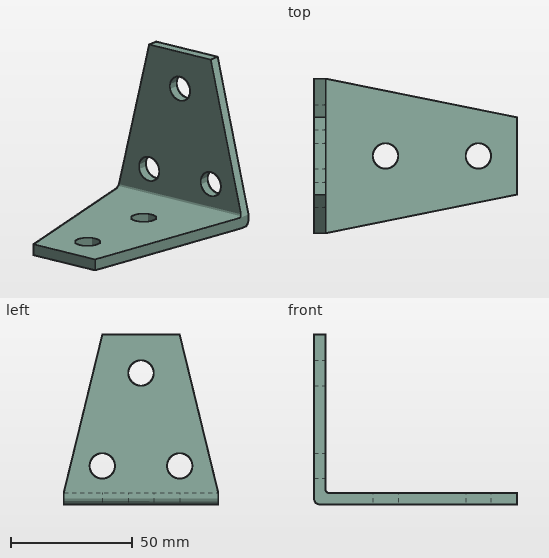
import cadquery as cq

base_length = 83.34
upright_height = 69.85
bend_width = 63.5
tip_width = bend_width / 2
thickness = 4.7625

outer_radius = 2.54
inner_radius = 1.5875

hole_diameter = 10.32
hole_edge_distance = 15.875
hole_pitch = 38.1
upright_pair_spacing = 31.75


def angle_profile():
    """L-shaped solid with its heel at the origin, centred on Y and bent along Y."""
    angle = (
        cq.Workplane("XZ")
        .moveTo(0, 0)
        .lineTo(base_length, 0)
        .lineTo(base_length, thickness)
        .lineTo(thickness, thickness)
        .lineTo(thickness, upright_height)
        .lineTo(0, upright_height)
        .close()
        .extrude(bend_width / 2, both=True)
    )
    heel = cq.selectors.NearestToPointSelector((0, 0, 0))
    inner_corner = cq.selectors.NearestToPointSelector((thickness, 0, thickness))
    angle = angle.edges("|Y").edges(inner_corner).fillet(inner_radius)
    return angle.edges("|Y").edges(heel).fillet(outer_radius)


def leg_outline(plane, leg_length):
    """Plan of one leg: full width across the bend, then tapering to the tip."""
    return (
        cq.Workplane(plane)
        .moveTo(0, -bend_width / 2)
        .lineTo(thickness, -bend_width / 2)
        .lineTo(leg_length, -tip_width / 2)
        .lineTo(leg_length, tip_width / 2)
        .lineTo(thickness, bend_width / 2)
        .lineTo(0, bend_width / 2)
        .close()
    )


base_plane = cq.Plane(origin=(0, 0, 0), xDir=(1, 0, 0), normal=(0, 0, 1))
upright_plane = cq.Plane(origin=(0, 0, 0), xDir=(0, 0, 1), normal=(-1, 0, 0))


def tapered_bracket():
    """Angle with both legs trimmed to a taper towards their tips."""
    base_trim = leg_outline(base_plane, base_length).extrude(upright_height)
    upright_trim = leg_outline(upright_plane, upright_height).extrude(-base_length)
    return angle_profile().intersect(base_trim).intersect(upright_trim)


def leg_holes(plane, positions, depth):
    """Cylinders through one leg at the given (along leg, along bend) positions."""
    return cq.Workplane(plane).pushPoints(positions).circle(hole_diameter / 2).extrude(depth)


base_outer_hole = base_length - hole_edge_distance
base_hole_positions = [(base_outer_hole, 0), (base_outer_hole - hole_pitch, 0)]

upright_top_hole = upright_height - hole_edge_distance
upright_pair_height = upright_top_hole - hole_pitch
upright_hole_positions = [
    (upright_top_hole, 0),
    (upright_pair_height, -upright_pair_spacing / 2),
    (upright_pair_height, upright_pair_spacing / 2),
]

base_holes = leg_holes(base_plane, base_hole_positions, thickness)
upright_holes = leg_holes(upright_plane, upright_hole_positions, -thickness)
result = tapered_bracket().cut(base_holes).cut(upright_holes)